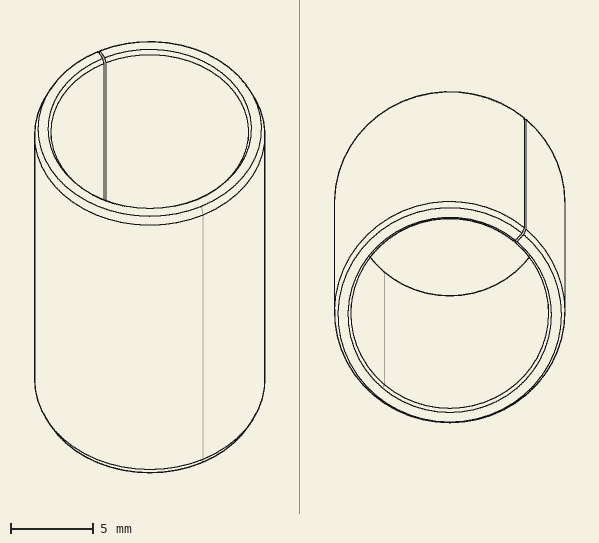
import cadquery as cq
import math

outer_diameter = 14.0
wall_thickness = 1.0
length = 25.0

outer_chamfer_length = 0.6
outer_chamfer_angle = 20.0

bore_chamfer_length = 0.3
bore_chamfer_angle = 30.0

joint_width = 0.13

outer_radius = outer_diameter / 2
bore_radius = outer_radius - wall_thickness
half_length = length / 2
outer_chamfer_depth = outer_chamfer_length * math.tan(math.radians(outer_chamfer_angle))
bore_chamfer_depth = bore_chamfer_length * math.tan(math.radians(bore_chamfer_angle))


def make_sleeve():
    """Revolve the chamfered wall section around the Z axis."""
    end_outer_radius = outer_radius - outer_chamfer_depth
    end_bore_radius = bore_radius + bore_chamfer_depth
    outer_shoulder_z = half_length - outer_chamfer_length
    bore_shoulder_z = half_length - bore_chamfer_length
    wall_section = (
        cq.Workplane("XZ")
        .moveTo(bore_radius, -bore_shoulder_z)
        .lineTo(end_bore_radius, -half_length)
        .lineTo(end_outer_radius, -half_length)
        .lineTo(outer_radius, -outer_shoulder_z)
        .lineTo(outer_radius, outer_shoulder_z)
        .lineTo(end_outer_radius, half_length)
        .lineTo(end_bore_radius, half_length)
        .lineTo(bore_radius, bore_shoulder_z)
        .close()
    )
    return wall_section.revolve(360, (0, 0, 0), (0, 1, 0))


def make_joint_cutter():
    """Thin slab from the axis out through the -X wall."""
    cutter_reach = outer_diameter
    return (
        cq.Workplane("XY")
        .box(cutter_reach, joint_width, length, centered=(True, False, True))
        .translate((-cutter_reach / 2, 0, 0))
    )


result = make_sleeve().cut(make_joint_cutter())